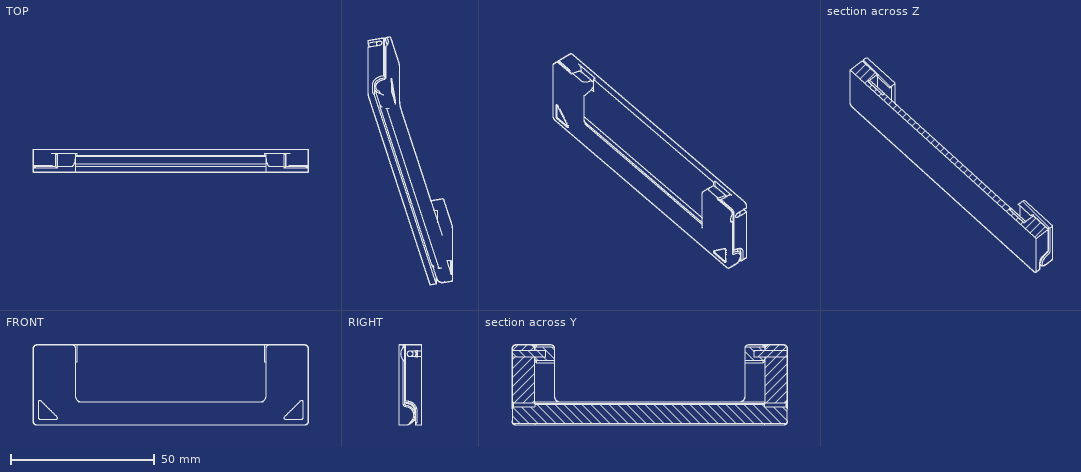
import cadquery as cq
import math

length = 96.0
depth = 8.0
height = 28.0
corner_radius = 1.4
end_x = length / 2
joint_y = 2.0

axis_y = 3.9
axis_z = 24.9
pin_radius = 1.01
pin_length = 11.5

slab_front_y = 5.8
ear_width = 7.9
ear_inner_radius = 1.4
ear_edge_chamfer = 0.3
recess_radius = 2.9
recess_center_z = 4.9
recess_flare = 0.6
lug_pocket_back_y = 6.5
lug_pocket_bottom_z = 22.0
lug_pocket_end = 15.4

front_fillet = 0.4
back_chamfer = 0.5
leg_width = 14.9
opening_bottom_z = 8.1
opening_radius = 1.9
end_bar_radius = 3.5
end_bar_center_y = 2.2
end_bar_blend_radius = 0.5
main_bar_clearance = 0.2
main_bar_bevel_z = 1.7
main_bar_bevel_y = 3.1
lug_start = 8.0
lug_radius = 2.5
lug_edge_chamfer = 0.5
ear_clearance_radius = 3.3

mark_offset_x = 1.9
mark_offset_z = 2.0
mark_leg = 7.3
mark_corner_radius = 0.5
mark_depth = 0.4

pick_margin = 0.1


def block(start, end, front_y, back_y, bottom_z, top_z):
    """Box whose start and end are distances from the -X end."""
    return (
        cq.Workplane("XY")
        .box(end - start, back_y - front_y, top_z - bottom_z, centered=False)
        .translate((start - end_x, front_y, bottom_z))
    )


def section_at(distance):
    """Work plane with local axes (Y, Z), at a distance from the -X end."""
    return cq.Workplane("YZ", origin=(distance - end_x, 0, 0))


def hinge_cylinder(radius, end):
    """Cylinder on the hinge axis, from the -X end to a distance from it."""
    return section_at(0).center(axis_y, axis_z).circle(radius).extrude(end)


def mirrored(body):
    """The same shape at the +X end."""
    return body.mirror("YZ")


def cut_both_ends(body, cutter):
    return body.cut(cutter).cut(mirrored(cutter))


def rounded_blank(front_y, back_y):
    """Overall outline with rounded corners, between two Y positions."""
    return block(0, length, front_y, back_y, 0, height).edges("|Y").fillet(corner_radius)


def round_top_corners(body, distance, radius):
    """Round the top edges along Y that lie at a distance from either end."""
    for x in (distance - end_x, end_x - distance):
        top_edge = cq.selectors.BoxSelector(
            (x - pick_margin, 0, height - pick_margin),
            (x + pick_margin, depth, height + pick_margin),
        )
        body = body.edges(top_edge).edges("|Y").fillet(radius)
    return body



def recess_outline(plane, growth):
    """Section of the space for the cover's bar, enlarged by growth."""
    radius = recess_radius + growth
    center_y = slab_front_y - recess_radius
    arc_middle = radius * math.sqrt(0.5)
    return (
        plane.moveTo(0, 0)
        .lineTo(slab_front_y + growth, 0)
        .lineTo(slab_front_y + growth, recess_center_z)
        .threePointArc(
            (center_y + arc_middle, recess_center_z + arc_middle),
            (center_y, recess_center_z + radius),
        )
        .lineTo(0, recess_center_z + radius)
        .close()
    )


def make_bar_recess():
    """Space for the bar under an ear, flared out towards the end."""
    straight = recess_outline(section_at(0), 0).extrude(ear_width)
    flare_mouth = recess_outline(section_at(0), recess_flare)
    flare_throat = flare_mouth.workplane(offset=recess_flare)
    flare = recess_outline(flare_throat, 0).loft(ruled=True)
    return straight.union(flare)


def make_pin_slot():
    """Slot open to the back and to the end, with a round front for the pin."""
    channel = block(0, ear_width, axis_y, depth, axis_z - pin_radius, axis_z + pin_radius)
    return channel.union(hinge_cylinder(pin_radius, ear_width))


def make_base():
    base = rounded_blank(joint_y, depth).faces("<Y").chamfer(ear_edge_chamfer)
    space_between_ears = block(ear_width, length - ear_width, 0, slab_front_y, 0, height)
    base = base.cut(space_between_ears)
    lug_pocket = block(
        ear_width, lug_pocket_end, slab_front_y, lug_pocket_back_y, lug_pocket_bottom_z, height
    )
    base = cut_both_ends(base, lug_pocket)
    base = round_top_corners(base, ear_width, ear_inner_radius)
    base = cut_both_ends(base, make_bar_recess())
    return cut_both_ends(base, make_pin_slot())



def make_plate():
    """Plate with bevelled back edges, from the bottom of the opening upwards."""
    plate = rounded_blank(0, joint_y).faces(">Y").chamfer(back_chamfer)
    return plate.intersect(block(0, length, 0, depth, opening_bottom_z, height))


def make_end_bar():
    """Bottom of the cover over the full length, with bevelled back edges at both ends."""
    blend_center_y = joint_y + end_bar_blend_radius
    reach = end_bar_radius + end_bar_blend_radius
    run = blend_center_y - end_bar_center_y
    rise = math.sqrt(reach**2 - run**2)
    blend_center_z = end_bar_radius + rise
    share = end_bar_radius / reach
    bar_end = (end_bar_center_y + share * run, end_bar_radius + share * rise)
    blend_angle = math.pi + math.atan2(rise, run) / 2
    blend_middle = (
        blend_center_y + end_bar_blend_radius * math.cos(blend_angle),
        blend_center_z + end_bar_blend_radius * math.sin(blend_angle),
    )
    bar = (
        section_at(0)
        .lineTo(end_bar_center_y, 0)
        .threePointArc((end_bar_center_y + end_bar_radius, end_bar_radius), bar_end)
        .threePointArc(blend_middle, (joint_y, blend_center_z))
        .lineTo(joint_y, opening_bottom_z)
        .lineTo(0, opening_bottom_z)
        .close()
        .extrude(length)
    )
    bar = bar.faces("<X or >X").edges("not(<Y or <Z or >Z)").chamfer(back_chamfer)
    return bar.intersect(rounded_blank(0, depth))


def make_main_bar():
    """Larger bar between the ears, with a sloping top and a bevelled bottom."""
    center_y = slab_front_y - recess_radius
    radius = recess_radius - main_bar_clearance
    arc_middle = radius * math.sqrt(0.5)
    return (
        section_at(lug_start)
        .lineTo(main_bar_bevel_y, 0)
        .lineTo(center_y + radius, main_bar_bevel_z)
        .lineTo(center_y + radius, recess_center_z)
        .threePointArc(
            (center_y + arc_middle, recess_center_z + arc_middle),
            (center_y, recess_center_z + radius),
        )
        .lineTo(joint_y, opening_bottom_z)
        .lineTo(0, opening_bottom_z)
        .close()
        .extrude(length - 2 * lug_start)
    )


def make_lug():
    """Hinge lug: round about the pin and widening towards the plate."""
    half_root = height - axis_z
    root_y = joint_y - back_chamfer
    profile = (
        section_at(lug_start)
        .moveTo(root_y, axis_z + half_root)
        .lineTo(joint_y, axis_z + half_root)
        .lineTo(axis_y, axis_z + lug_radius)
        .threePointArc((axis_y + lug_radius, axis_z), (axis_y, axis_z - lug_radius))
        .lineTo(joint_y, axis_z - half_root)
        .lineTo(root_y, axis_z - half_root)
        .close()
    )
    lug = profile.extrude(leg_width - lug_start)
    lug = lug.faces("<X").edges("not(<Y)").chamfer(lug_edge_chamfer)
    leg = block(0, leg_width, 0, depth, 0, height)
    rounded_leg = leg.edges("|Y and >X and >Z").fillet(corner_radius)
    return lug.intersect(rounded_leg)


def make_mark():
    """Rounded triangle in the lower corner at the -X end."""
    return (
        cq.Workplane("XZ", origin=(mark_offset_x - end_x, 0, mark_offset_z))
        .lineTo(mark_leg, 0)
        .lineTo(0, mark_leg)
        .close()
        .extrude(-mark_depth)
        .edges("|Y")
        .fillet(mark_corner_radius)
    )


def make_cover():
    cover = make_plate().union(make_end_bar()).union(make_main_bar()).clean()
    opening = block(leg_width, length - leg_width, 0, depth, opening_bottom_z, height)
    cover = cover.cut(opening.edges("|Y and <Z").fillet(opening_radius))
    cover = round_top_corners(cover, leg_width, corner_radius)
    cover = cover.faces("<Y").edges().fillet(front_fillet)
    cover = cut_both_ends(cover, hinge_cylinder(ear_clearance_radius, lug_start))
    lug = make_lug()
    cover = cover.union(lug).union(mirrored(lug))
    cover = cut_both_ends(cover, hinge_cylinder(pin_radius, pin_length))
    return cut_both_ends(cover, make_mark())



def make_pin():
    return hinge_cylinder(pin_radius, pin_length)


base = make_base()
cover = make_cover()
left_pin = make_pin()
pins = [left_pin, mirrored(left_pin)]
result = cq.Compound.makeCompound([base.val(), cover.val(), *[pin.val() for pin in pins]])